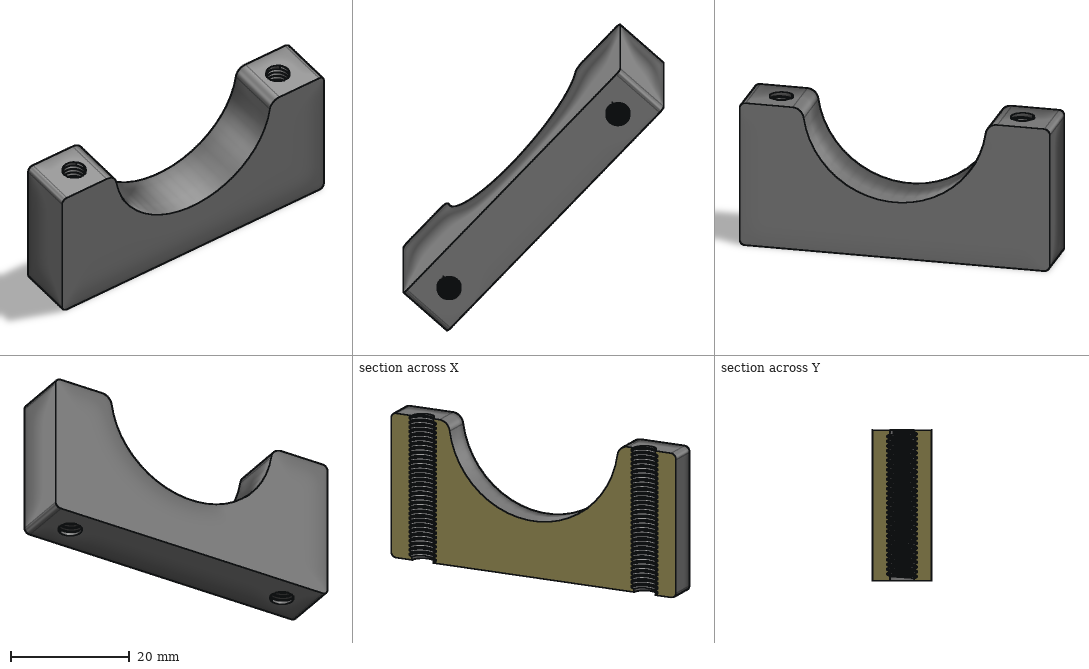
import cadquery as cq

width = 10.0
length = 54.0
height = 25.45
corner_radius = 1.0

bore_radius = 16.0
floor_thickness = 10.0
bore_axis_z = floor_thickness + bore_radius
lip_radius = 2.0

hole_spacing = 42.0
minor_diameter = 4.0
major_diameter = 5.0
pitch = 0.8
crest_width = pitch / 8
root_width = pitch / 4
thread_end_margin = 0.5 * pitch
thread_top_angle = 135.0
groove_overlap = 0.05


def make_block():
    block = cq.Workplane("XY").box(width, length, height, centered=(True, True, False))
    return block.edges("|X").fillet(corner_radius)


def cut_saddle(body):
    bore = (
        cq.Workplane("YZ")
        .center(0, bore_axis_z)
        .circle(bore_radius)
        .extrude(width / 2, both=True)
    )
    body = body.cut(bore)
    lip_half_gap = (bore_radius**2 - (bore_axis_z - height) ** 2) ** 0.5
    lip_edges = cq.selectors.BoxSelector(
        (-width, -lip_half_gap - lip_radius / 2, height - lip_radius / 2),
        (width, lip_half_gap + lip_radius / 2, height + lip_radius / 2),
    )
    return body.edges("|X").edges(lip_edges).fillet(lip_radius)


def make_thread_groove():
    """V-shaped helical groove cutter around the Z axis, running the height of the block."""
    minor_radius = minor_diameter / 2
    major_radius = major_diameter / 2
    root_half_width = root_width / 2
    mouth_half_width = (pitch - crest_width) / 2
    flank_slope = (mouth_half_width - root_half_width) / (major_radius - minor_radius)
    inner_radius = minor_radius - groove_overlap
    inner_half_width = mouth_half_width + flank_slope * groove_overlap
    thread_length = height - 2 * thread_end_margin
    helix = cq.Wire.makeHelix(pitch, thread_length, minor_radius)
    profile = cq.Workplane("XZ").polyline(
        [
            (inner_radius, -inner_half_width),
            (major_radius, -root_half_width),
            (major_radius, root_half_width),
            (inner_radius, inner_half_width),
        ]
    ).close()
    groove = profile.sweep(cq.Workplane(helix), isFrenet=True)
    start_angle = thread_top_angle - 360 * thread_length / pitch
    groove = groove.rotate((0, 0, 0), (0, 0, 1), start_angle)
    return groove.translate((0, 0, thread_end_margin))


def cut_screw_holes(body):
    hole_centres = [(0, -hole_spacing / 2), (0, hole_spacing / 2)]
    bores = (
        cq.Workplane("XY")
        .pushPoints(hole_centres)
        .circle(minor_diameter / 2)
        .extrude(height)
    )
    body = body.cut(bores)
    groove = make_thread_groove()
    for x, y in hole_centres:
        body = body.cut(groove.translate((x, y, 0)), clean=False)
    return body


clamp_half = cut_screw_holes(cut_saddle(make_block()))
result = clamp_half.solids().first()